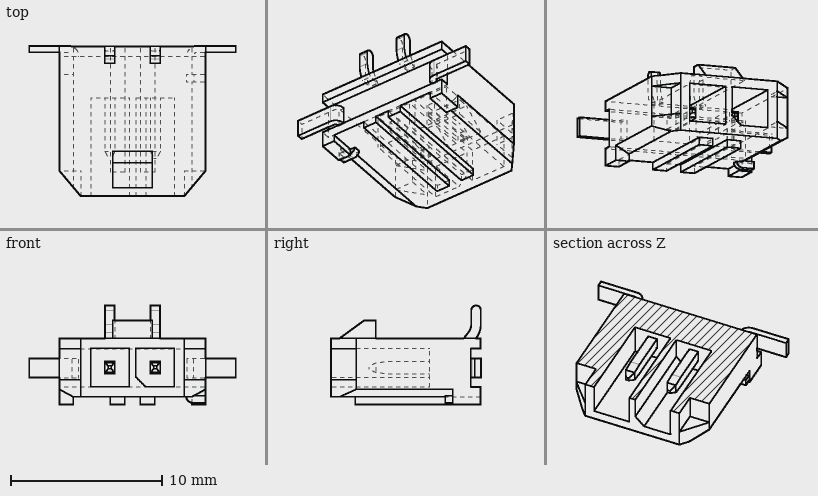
import cadquery as cq
import math


body_width = 9.68
body_length = 9.90
body_height = 3.87
wall = 0.67
half_width = body_width / 2
corner_cut_x = 1.41
corner_cut_y = 1.68
corner_pocket_floor = 1.15
lower_bevel_width = 0.94
lower_bevel_height = 0.51
back_notch_depth = 0.65

foot_height = 0.50
corner_foot_length = 1.85
rib_width = 0.98
rib_spacing = 1.98
rib_front = 1.60

key_radius = 0.47
key_top = 0.08
key_length = 0.50
key_side_gap = 0.04
key_flat_length = 0.80

pitch = 3.0
cavity_size = 2.55
cavity_depth = 6.5
cavity_center_z = 1.95
polarizing_cut = 0.64
contact_width = 0.64
pin_tip_size = 0.20
pin_shoulder_height = 0.80
pin_length = 4.0
pin_taper_length = 0.45
pin_shoulder_taper = 0.80

lead_overhang = 0.02
lead_thickness = 0.65
lead_top = 6.05
lead_bend_start = 4.81
lead_bend_angle = math.radians(38)
lead_inner_radius = 0.87
lead_buried_depth = 0.40

latch_width = 2.64
latch_height = 1.19
latch_ramp_start = 0.56
latch_ramp_end = 2.19
latch_back = 2.97

tab_span = 13.65
tab_thickness = 0.43
tab_height = 1.27
tab_center_z = 1.91
tab_overhang = 0.03
tab_bend_inset = 0.63
tab_inner_radius = 0.20
tab_buried_depth = 0.50


def box(x_range, y_range, z_range):
    """Axis-aligned box between the given limits."""
    size = [high - low for low, high in (x_range, y_range, z_range)]
    corner = (x_range[0], y_range[0], z_range[0])
    return cq.Workplane("XY").box(*size, centered=False).translate(corner)


def extrude_along_x(profile, center_x, width):
    """Extrude a YZ profile symmetrically about X = center_x."""
    return profile.extrude(width / 2, both=True).translate((center_x, 0, 0))


def extrude_along_y(profile, y_start, y_end):
    """Extrude an XZ profile from y_start to y_end."""
    return profile.extrude(y_start - y_end).translate((0, y_start, 0))


def corner_cut(side):
    """Triangular prism removed from one front corner; side is -1 or +1."""
    edge = side * half_width
    return (
        cq.Workplane("XY")
        .moveTo(edge, 0)
        .lineTo(edge - side * corner_cut_x, 0)
        .lineTo(edge, corner_cut_y)
        .close()
        .extrude(body_height)
    )


def lower_bevel(side):
    """Wedge removed from a lower side edge, ahead of the corner foot."""
    edge = side * half_width
    profile = (
        cq.Workplane("XZ")
        .moveTo(edge, 0)
        .lineTo(edge - side * lower_bevel_width, 0)
        .lineTo(edge, lower_bevel_height)
        .close()
    )
    return extrude_along_y(profile, 0, body_length - corner_foot_length)


def housing_shell():
    """Block with cut front corners, corner pockets, lower bevels and a back notch."""
    shell = box((-half_width, half_width), (0, body_length), (0, body_height))
    pocket_z = (corner_pocket_floor, body_height - wall)
    for side in (-1, 1):
        edge = side * half_width
        pocket_x = sorted((edge, edge - side * corner_cut_x))
        shell = shell.cut(corner_cut(side))
        shell = shell.cut(box(pocket_x, (0, corner_cut_y), pocket_z))
        shell = shell.cut(lower_bevel(side))
    notch_y = (body_length - back_notch_depth, body_length)
    return shell.cut(box((-half_width, half_width), notch_y, (wall, body_height - wall)))


def cavity(center_x):
    """Square mating cavity open at the front face."""
    half = cavity_size / 2
    return box(
        (center_x - half, center_x + half),
        (0, cavity_depth),
        (cavity_center_z - half, cavity_center_z + half),
    )


def polarized_cavity(center_x):
    """Mating cavity with its lower corner on the -X side filled by a 45 degree bevel."""
    half = cavity_size / 2
    left = center_x - half
    bottom = cavity_center_z - half
    fill_profile = (
        cq.Workplane("XZ")
        .moveTo(left, bottom)
        .lineTo(left + polarizing_cut, bottom)
        .lineTo(left, bottom + polarizing_cut)
        .close()
    )
    return cavity(center_x).cut(extrude_along_y(fill_profile, 0, cavity_depth))


def foot_and_rib(side):
    """Corner foot at the back and long rib underneath on one side; side is -1 or +1."""
    edge = side * half_width
    z_range = (-foot_height, 0)
    foot_x = sorted((edge, edge - side * lower_bevel_width))
    foot_y = (body_length - corner_foot_length, body_length)
    rib_x = side * rib_spacing / 2
    rib_limits = (rib_x - rib_width / 2, rib_x + rib_width / 2)
    foot = box(foot_x, foot_y, z_range)
    return foot.union(box(rib_limits, (rib_front, body_length), z_range))


def rounded_key():
    """Small block with a rounded lower inner corner, in front of the +X corner foot."""
    outer_x = half_width - key_side_gap
    arc_center_x = outer_x - key_flat_length
    bottom = key_top - key_radius
    profile = (
        cq.Workplane("XZ")
        .moveTo(arc_center_x - key_radius, key_top)
        .radiusArc((arc_center_x, bottom), -key_radius)
        .lineTo(outer_x, bottom)
        .lineTo(outer_x, key_top)
        .close()
    )
    foot_front = body_length - corner_foot_length
    return extrude_along_y(profile, foot_front - key_length, foot_front)


def latch():
    """Ramp on the housing top, rising toward the back."""
    top = body_height + latch_height
    profile = (
        cq.Workplane("YZ")
        .moveTo(latch_ramp_start, body_height)
        .lineTo(latch_ramp_end, top)
        .lineTo(latch_back, top)
        .lineTo(latch_back, body_height)
        .close()
    )
    return extrude_along_x(profile, 0, latch_width)


def frustum(center_x, y_start, length, front_size, back_size):
    """Rectangular taper along +Y between two (width, height) sections."""
    origin = (center_x, y_start, cavity_center_z)
    return (
        cq.Workplane("XZ", origin=origin)
        .rect(*front_size)
        .workplane(offset=-length)
        .rect(*back_size)
        .loft(ruled=True)
    )


def pin(center_x):
    """Pointed contact pin standing on the back wall of a cavity."""
    tip = (pin_tip_size, pin_tip_size)
    neck = (contact_width, contact_width)
    shank = (contact_width, pin_shoulder_height)
    tip_y = cavity_depth - pin_length
    neck_y = tip_y + pin_taper_length
    shank_y = neck_y + pin_shoulder_taper
    return (
        frustum(center_x, tip_y, pin_taper_length, tip, neck)
        .union(frustum(center_x, neck_y, pin_shoulder_taper, neck, shank))
        .union(frustum(center_x, shank_y, cavity_depth - shank_y, shank, shank))
    )


def lead(center_x):
    """Round-ended contact lead, bent where it leaves the housing top."""
    back = body_length + lead_overhang
    front = back - lead_thickness
    end_radius = lead_thickness / 2
    outer_radius = lead_inner_radius + lead_thickness
    bend_center_y = front - lead_inner_radius

    def bend_point(radius, angle):
        y = bend_center_y + radius * math.cos(angle)
        return (y, lead_bend_start - radius * math.sin(angle))

    def buried_point(radius):
        y, z = bend_point(radius, lead_bend_angle)
        end_z = body_height - lead_buried_depth
        return (y - (z - end_z) * math.tan(lead_bend_angle), end_z)

    half_angle = lead_bend_angle / 2
    profile = (
        cq.Workplane("YZ")
        .moveTo(front, lead_bend_start)
        .lineTo(front, lead_top - end_radius)
        .threePointArc((front + end_radius, lead_top), (back, lead_top - end_radius))
        .lineTo(back, lead_bend_start)
        .threePointArc(bend_point(outer_radius, half_angle), bend_point(outer_radius, lead_bend_angle))
        .lineTo(*buried_point(outer_radius))
        .lineTo(*buried_point(lead_inner_radius))
        .lineTo(*bend_point(lead_inner_radius, lead_bend_angle))
        .threePointArc(bend_point(lead_inner_radius, half_angle), (front, lead_bend_start))
        .close()
    )
    return extrude_along_x(profile, center_x, contact_width)


def solder_tab():
    """Flat tab on the -X side, bent forward into the back of the housing."""
    outer_y = body_length + tab_overhang
    inner_y = outer_y - tab_thickness
    outer_radius = tab_inner_radius + tab_thickness
    bend_x = -half_width + tab_bend_inset
    bend_y = inner_y - tab_inner_radius
    end_y = body_length - back_notch_depth - tab_buried_depth
    profile = (
        cq.Workplane("XY", origin=(0, 0, tab_center_z))
        .moveTo(-tab_span / 2, inner_y)
        .lineTo(-tab_span / 2, outer_y)
        .lineTo(bend_x, outer_y)
        .radiusArc((bend_x + outer_radius, bend_y), outer_radius)
        .lineTo(bend_x + outer_radius, end_y)
        .lineTo(bend_x + tab_inner_radius, end_y)
        .lineTo(bend_x + tab_inner_radius, bend_y)
        .radiusArc((bend_x, inner_y), -tab_inner_radius)
        .close()
    )
    return profile.extrude(tab_height / 2, both=True)


left_contact_x = -pitch / 2
right_contact_x = pitch / 2

housing = housing_shell().cut(cavity(left_contact_x)).cut(polarized_cavity(right_contact_x))
for body_side in (-1, 1):
    housing = housing.union(foot_and_rib(body_side))
housing = housing.union(rounded_key()).union(latch())

for contact_x in (left_contact_x, right_contact_x):
    housing = housing.union(pin(contact_x)).union(lead(contact_x))

left_tab = solder_tab()
result = housing.union(left_tab).union(left_tab.mirror("YZ"))